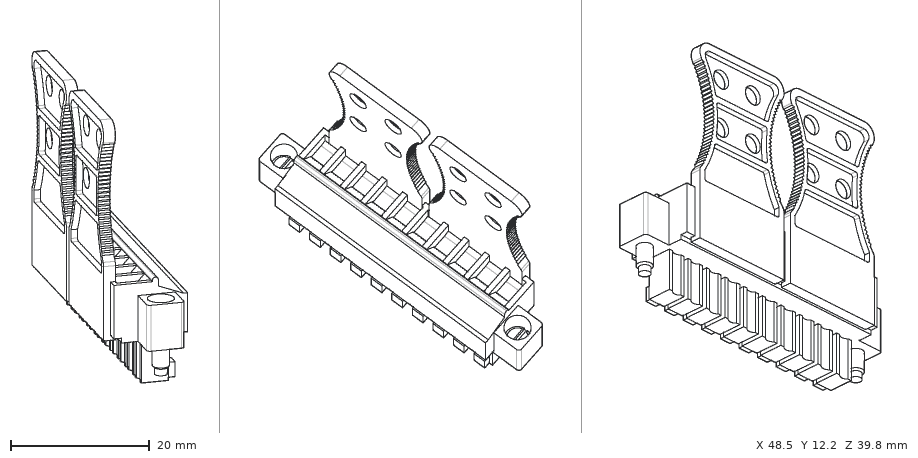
import cadquery as cq
import math


contact_count = 10
contact_pitch = 3.81
contact_x = [(i - (contact_count - 1) / 2) * contact_pitch for i in range(contact_count)]

housing_width = 39.0
housing_back = 4.7
housing_front = -6.45
housing_top = 8.9
back_wall_top = 6.7
underside_front = -5.25
underside_step = 0.75

slope_start = 4.05
slope_end_height = 8.15
crest_back = 0.3
crest_back_radius = 0.45
crest_front_radius = 0.49
crest_height = 9.55
crest_peak = crest_back - crest_back_radius
crest_front = crest_peak - crest_front_radius

pocket_width = 2.95
pocket_front = -5.7
pocket_ramp_foot = -2.4
pocket_ramp_foot_height = 7.0
pocket_floor = 6.65
pocket_sill_start = -4.8
pocket_sill_rise = 0.25

flange_end = 48.49 / 2
flange_half_depth = 2.8
flange_height = 7.0
flange_corner = 0.5

post_width = 3.0
post_half_depth = 2.05
post_length = 6.7
post_groove_width = 1.75
post_groove_depth = 0.4
tab_width = 2.0
tab_back = 3.2
tab_top = -4.1
tab_bottom = -6.4

screw_x = 21.65
shank_diameter = 2.5
shank_end = -3.2
tip_diameter = 1.85
tip_start = -3.5
tip_end = -4.5
head_diameter = 3.9
head_seat = 1.5
head_height = 2.0
head_chamfer = 0.4
slot_width = 0.6
slot_depth = 0.8

flag_x = 9.26
flag_half_width = 8.62
flag_height = 33.05
flag_back = pocket_front
flag_thickness = 1.8
flag_top_radius = 2.0
flag_top_sweep = math.radians(30)
shoulder_radius = 1.0
shoulder_slope = math.radians(36)

waist_height = 21.2
waist_half_width = 6.0
grip_radius = 17.6
grip_centre_x = waist_half_width + grip_radius
tooth_depth = 0.3
tooth_angle = math.radians(2.08)
last_tooth = 14

recess_depth = 1.0
rim_width = 1.0
rib_width = 1.0
lower_recess_bottom = 9.95
middle_recess_bottom = 17.95
middle_recess_top = 23.95
upper_recess_top = 31.8
recess_corner = 0.4
recess_top_corner = 1.0
hole_diameter = 3.0
hole_half_spacing = 3.25
hole_heights = (20.9, 28.9)


def block(x_range, y_range, z_range):
    """Box that spans the given ranges."""
    (x0, x1), (y0, y1), (z0, z1) = x_range, y_range, z_range
    return cq.Workplane("XY").box(x1 - x0, y1 - y0, z1 - z0, centered=False).translate((x0, y0, z0))


def housing_shell():
    """Full-width body drawn as its end profile."""
    return (
        cq.Workplane("YZ", origin=(-housing_width / 2, 0, 0))
        .moveTo(underside_front, 0)
        .lineTo(flange_half_depth, 0)
        .lineTo(flange_half_depth, underside_step)
        .lineTo(housing_back, underside_step)
        .lineTo(housing_back, back_wall_top)
        .lineTo(slope_start, back_wall_top)
        .lineTo(crest_back, slope_end_height)
        .lineTo(crest_back, crest_height - crest_back_radius)
        .radiusArc((crest_peak, crest_height), -crest_back_radius)
        .radiusArc((crest_front, crest_height - crest_front_radius), -crest_front_radius)
        .lineTo(crest_front, housing_top)
        .lineTo(housing_front, housing_top)
        .lineTo(housing_front, underside_step)
        .lineTo(underside_front, underside_step)
        .close()
        .extrude(housing_width)
    )


def wire_pocket(x):
    """Pocket with a steep ramp behind a flat floor and a low sloping sill in front."""
    return (
        cq.Workplane("YZ", origin=(x - pocket_width / 2, 0, 0))
        .moveTo(crest_front, housing_top)
        .lineTo(pocket_ramp_foot, pocket_ramp_foot_height)
        .lineTo(pocket_ramp_foot, pocket_floor)
        .lineTo(pocket_sill_start, pocket_floor)
        .lineTo(pocket_front, pocket_floor + pocket_sill_rise)
        .lineTo(pocket_front, housing_top)
        .close()
        .extrude(pocket_width)
    )


def contact_post(x):
    """Post under the housing with a grooved front and a tab at the back."""
    half_width = post_width / 2
    half_groove = post_groove_width / 2
    post = (
        cq.Workplane("XY")
        .moveTo(x - half_width, -post_half_depth)
        .lineTo(x - half_groove, -post_half_depth)
        .threePointArc((x, post_groove_depth - post_half_depth), (x + half_groove, -post_half_depth))
        .lineTo(x + half_width, -post_half_depth)
        .lineTo(x + half_width, post_half_depth)
        .lineTo(x - half_width, post_half_depth)
        .close()
        .extrude(-post_length)
    )
    tab_range = (x - tab_width / 2, x + tab_width / 2)
    tab = block(tab_range, (post_half_depth, tab_back), (tab_bottom, tab_top))
    return post.union(tab)


def screw_flange(side):
    """Flange on one end of the housing, bored for a sunk screw head."""
    inner = side * housing_width / 2
    outer = side * flange_end
    depth_range = (-flange_half_depth, flange_half_depth)
    flange = block(sorted((inner, outer)), depth_range, (0, flange_height))
    flange = flange.edges("|Z").edges(">X" if side > 0 else "<X").fillet(flange_corner)
    bore = cq.Workplane("XY").center(side * screw_x, 0).circle(shank_diameter / 2).extrude(flange_height)
    head_bore = (
        cq.Workplane("XY", origin=(side * screw_x, 0, head_seat))
        .circle(head_diameter / 2)
        .extrude(flange_height - head_seat)
    )
    return flange.cut(bore).cut(head_bore)


def flag_seat(x):
    """Opening in the front wall that takes the foot of a flag."""
    x_range = (x - flag_half_width, x + flag_half_width)
    return block(x_range, (housing_front, flag_back), (underside_step, housing_top))


def make_housing():
    body = housing_shell()
    for x in contact_x:
        body = body.cut(wire_pocket(x)).union(contact_post(x))
    for side in (-1, 1):
        body = body.union(screw_flange(side)).cut(flag_seat(side * flag_x))
    return body


def make_screw(x):
    """Slotted screw with a stepped shank, revolved about its own axis."""
    head_top = head_seat + head_height
    screw = (
        cq.Workplane("XZ")
        .moveTo(0, tip_end)
        .lineTo(tip_diameter / 2, tip_end)
        .lineTo(tip_diameter / 2, tip_start)
        .lineTo(shank_diameter / 2, shank_end)
        .lineTo(shank_diameter / 2, head_seat)
        .lineTo(head_diameter / 2, head_seat)
        .lineTo(head_diameter / 2, head_top - head_chamfer)
        .lineTo(head_diameter / 2 - head_chamfer, head_top)
        .lineTo(0, head_top)
        .close()
        .revolve(360, (0, 0, 0), (0, 1, 0))
    )
    slot = block(
        (-slot_width / 2, slot_width / 2),
        (-head_diameter / 2, head_diameter / 2),
        (head_top - slot_depth, head_top),
    )
    return screw.cut(slot).translate((x, 0, 0))


def grip_point(radius, step):
    """Point on an arc about the grip centre, `step` teeth above the waist."""
    angle = step * tooth_angle
    return (grip_centre_x - radius * math.cos(angle), waist_height + radius * math.sin(angle))


def flag_half():
    """Right half of a flag blank, with its toothed edge."""
    root_radius = grip_radius + tooth_depth
    first_root = grip_point(root_radius, 0.5 - last_tooth)
    shoulder_x = flag_half_width - shoulder_radius * (1 - math.cos(shoulder_slope))
    shoulder_z = first_root[1] - (shoulder_x - first_root[0]) / math.tan(shoulder_slope)
    shoulder_start = shoulder_z - shoulder_radius * math.sin(shoulder_slope)

    corner_x = flag_half_width - flag_top_radius
    corner_z = flag_height - flag_top_radius
    corner_start = (
        corner_x + flag_top_radius * math.cos(flag_top_sweep),
        corner_z - flag_top_radius * math.sin(flag_top_sweep),
    )

    outline = (
        cq.Workplane("XZ", origin=(0, flag_back, 0))
        .lineTo(flag_half_width, 0)
        .lineTo(flag_half_width, shoulder_start)
        .radiusArc((shoulder_x, shoulder_z), -shoulder_radius)
        .lineTo(*first_root)
    )
    for tooth in range(1 - last_tooth, last_tooth):
        outline = outline.lineTo(*grip_point(grip_radius, tooth))
        outline = outline.lineTo(*grip_point(root_radius, tooth + 0.5))
    return (
        outline.lineTo(*grip_point(grip_radius, last_tooth))
        .lineTo(*corner_start)
        .threePointArc((flag_half_width, corner_z), (corner_x, flag_height))
        .lineTo(0, flag_height)
        .close()
        .extrude(flag_thickness)
    )


def flag_recess(bottom, top, half_width):
    """Shallow recess that keeps within the half width and leaves an even rim along the grip."""
    front = flag_back - flag_thickness
    depth_range = (front, front + recess_depth)
    recess = block((-half_width, half_width), depth_range, (bottom, top))
    rim_arcs = (
        cq.Workplane("XZ", origin=(0, depth_range[1], 0))
        .pushPoints([(-grip_centre_x, waist_height), (grip_centre_x, waist_height)])
        .circle(grip_radius + rim_width)
        .extrude(recess_depth)
    )
    return recess.cut(rim_arcs)


def make_flag(x):
    half = flag_half()
    flag = half.union(half.mirror("YZ"))
    lower = flag_recess(lower_recess_bottom, middle_recess_bottom - rib_width, flag_half_width - rim_width)
    lower = lower.edges("|Y").edges("<Z or >Z").fillet(recess_corner)
    middle = flag_recess(middle_recess_bottom, middle_recess_top, flag_half_width)
    middle = middle.edges("|Y").fillet(recess_corner)
    upper = flag_recess(middle_recess_top + rib_width, upper_recess_top, flag_half_width)
    upper = upper.edges("|Y").edges("<Z").fillet(recess_corner)
    upper = upper.edges("|Y").edges(">Z").fillet(recess_top_corner)
    holes = (
        cq.Workplane("XZ", origin=(0, flag_back, 0))
        .pushPoints([(side * hole_half_spacing, z) for side in (-1, 1) for z in hole_heights])
        .circle(hole_diameter / 2)
        .extrude(flag_thickness)
    )
    return flag.cut(lower).cut(middle).cut(upper).cut(holes).translate((x, 0, 0))


housing = make_housing()
flags = [make_flag(side * flag_x) for side in (-1, 1)]
screws = [make_screw(side * screw_x) for side in (-1, 1)]

result = cq.Compound.makeCompound(
    [housing.val()] + [flag.val() for flag in flags] + [screw.val() for screw in screws]
)